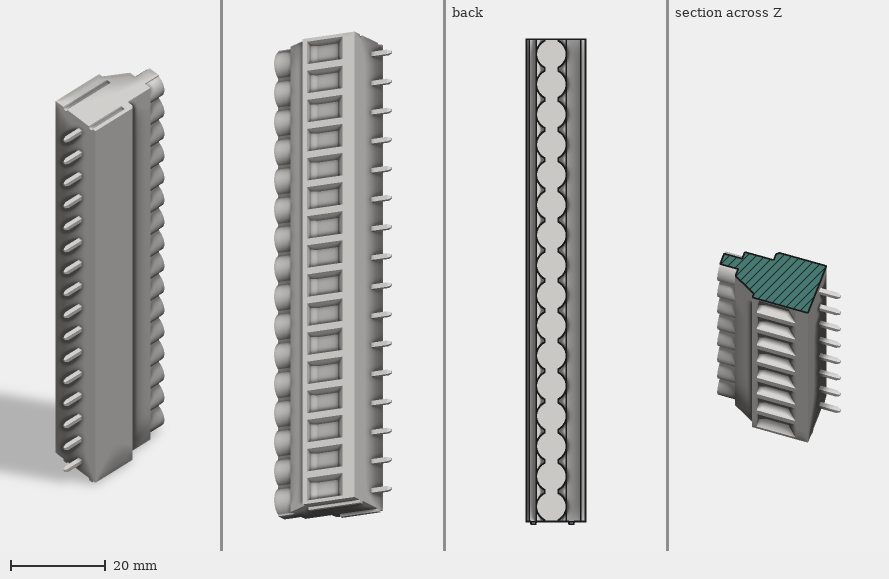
import cadquery as cq

POLES = 16
PITCH = 6.35
LENGTH = POLES * PITCH
MID_CELL = PITCH / 2

DEPTH = 12.5
ENTRY_WALL_TOP = 12.4
ENTRY_RIM = 1.0
SHOULDER = 17.5
TOWER_BACK = 10.4
REAR_STEP = 11.1
REAR_CHAMFER = 0.6

TOWER_TOP = 21.5
TOWER_RADIUS = MID_CELL
TOWER_X = TOWER_BACK - TOWER_RADIUS
TOWER_FRONT = TOWER_X - TOWER_RADIUS
WEB_WIDTH = 2.85

POCKET_BOTTOM = 2.8
POCKET_RAMP_END = 5.0
POCKET_FLOOR_END = 9.9
POCKET_TOP = 11.4
POCKET_DEPTH = 2.0
POCKET_TOP_DEPTH = 1.6
POCKET_MOUTH = 4.9
POCKET_FLOOR = 3.5

PIN_X = 7.8
PIN_WIDTH = 1.0
PIN_LENGTH = 4.6
PIN_TAPER = 0.8
PIN_TIP_WIDTH = 0.5

RAILS = [(3.0, ENTRY_WALL_TOP), (11.0, 9.2)]
RAIL_HEIGHT = 0.6
RAIL_ROOT_WIDTH = 1.2
RAIL_TIP_WIDTH = 0.9


def cell_centres():
    return [MID_CELL + PITCH * i for i in range(POLES)]


def housing():
    outline = [
        (0, 0),
        (DEPTH, 0),
        (DEPTH, REAR_STEP - REAR_CHAMFER),
        (DEPTH - REAR_CHAMFER, REAR_STEP),
        (TOWER_BACK, REAR_STEP),
        (TOWER_BACK, SHOULDER),
        (TOWER_FRONT, SHOULDER),
        (ENTRY_RIM, ENTRY_WALL_TOP),
        (0, ENTRY_WALL_TOP),
    ]
    return cq.Workplane("XY").polyline(outline).close().extrude(LENGTH)


def screw_tower(z):
    """Round tower with a web across the full cell that joins it to its neighbours."""
    height = TOWER_TOP - SHOULDER
    base = cq.Workplane("XZ", origin=(TOWER_X, SHOULDER, z))
    round_part = base.circle(TOWER_RADIUS).extrude(-height)
    web = base.rect(WEB_WIDTH, PITCH).extrude(-height)
    return round_part.union(web)


def wire_pocket(z):
    """Pocket with a ramp below, a nearly flat floor and end walls that narrow inwards."""
    side_profile = [
        (0, POCKET_BOTTOM),
        (POCKET_DEPTH, POCKET_RAMP_END),
        (POCKET_DEPTH, POCKET_FLOOR_END),
        (POCKET_TOP_DEPTH, POCKET_TOP),
        (0, POCKET_TOP),
    ]
    plan_profile = [
        (0, -POCKET_MOUTH / 2),
        (POCKET_DEPTH, -POCKET_FLOOR / 2),
        (POCKET_DEPTH, POCKET_FLOOR / 2),
        (0, POCKET_MOUTH / 2),
    ]
    side = (
        cq.Workplane("XY", origin=(0, 0, z - MID_CELL))
        .polyline(side_profile)
        .close()
        .extrude(PITCH)
    )
    plan = (
        cq.Workplane("XZ", origin=(0, 0, z))
        .polyline(plan_profile)
        .close()
        .extrude(-ENTRY_WALL_TOP)
    )
    return side.intersect(plan)


def solder_pin(z):
    """Square pin on the seating face with a tapered tip."""
    shank_length = PIN_LENGTH - PIN_TAPER
    shank = (
        cq.Workplane("XZ", origin=(PIN_X, 0, z))
        .rect(PIN_WIDTH, PIN_WIDTH)
        .extrude(shank_length)
    )
    tip = (
        cq.Workplane("XZ", origin=(PIN_X, -shank_length, z))
        .rect(PIN_WIDTH, PIN_WIDTH)
        .workplane(offset=PIN_TAPER)
        .rect(PIN_TIP_WIDTH, PIN_TIP_WIDTH)
        .loft(ruled=True)
    )
    return shank.union(tip)


def rail(x, length, z):
    """Tapered bar from the seating face upwards, its wide root at height z."""
    profile = [
        (-RAIL_ROOT_WIDTH / 2, 0),
        (-RAIL_TIP_WIDTH / 2, -RAIL_HEIGHT),
        (RAIL_TIP_WIDTH / 2, -RAIL_HEIGHT),
        (RAIL_ROOT_WIDTH / 2, 0),
    ]
    return cq.Workplane("XZ", origin=(x, 0, z)).polyline(profile).close().extrude(-length)


result = housing()
for centre in cell_centres():
    result = result.union(screw_tower(centre))
    result = result.union(solder_pin(centre))
    result = result.cut(wire_pocket(centre))
for rail_x, rail_length in RAILS:
    result = result.union(rail(rail_x, rail_length, 0))
    result = result.cut(rail(rail_x, rail_length, LENGTH))